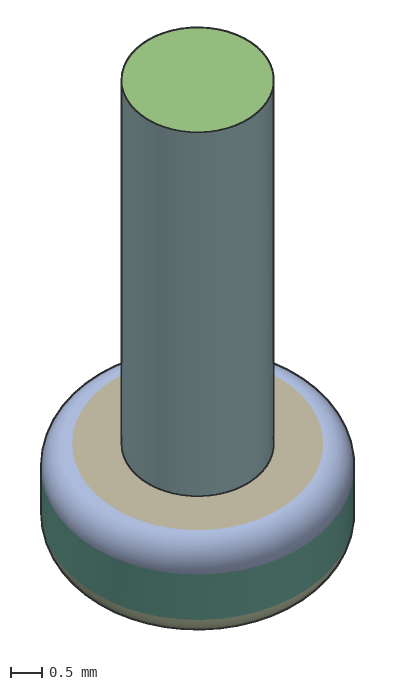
import cadquery as cq

HEAD_DIAMETER = 5.0
HEAD_HEIGHT = 2.0
EDGE_RADIUS = 0.5
SHANK_DIAMETER = 2.43
TOTAL_HEIGHT = 10.0


def make_head():
    """Round head resting on Z = 0, with both rims rounded."""
    head = cq.Workplane("XY").circle(HEAD_DIAMETER / 2).extrude(HEAD_HEIGHT)
    return head.edges("%CIRCLE").fillet(EDGE_RADIUS)


def make_shank():
    """Plain cylindrical shank rising from the top of the head."""
    shank_length = TOTAL_HEIGHT - HEAD_HEIGHT
    return (
        cq.Workplane("XY")
        .workplane(offset=HEAD_HEIGHT)
        .circle(SHANK_DIAMETER / 2)
        .extrude(shank_length)
    )


result = make_head().union(make_shank())